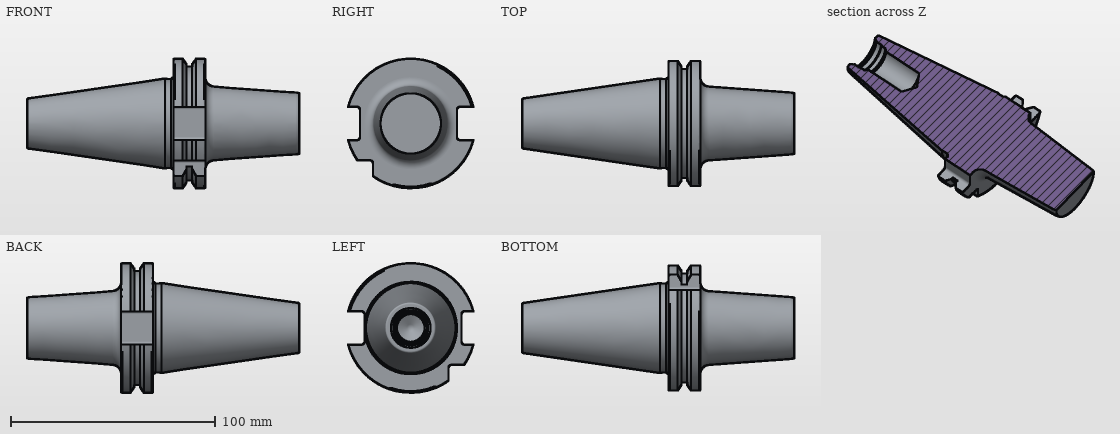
import cadquery as cq
import math

length = 133.2

taper_small_radius = 12.3
taper_end = 67.4
taper_slope = 7 / 48
taper_large_radius = taper_small_radius + taper_slope * taper_end
tail_round = 0.8
neck_radius = 21.9
neck_start = 68.5
neck_end = 70.5
collar_radius = 22.7

flange_start = 71.5
flange_end = 87.3
flange_radius = 31.78
rim_round = 0.8
groove_center = (flange_start + flange_end) / 2
groove_floor_radius = 28.0
groove_wall_height = 1.0
groove_floor_width = 2.8
groove_top_width = 6.7

nose_start = 91.7
nose_base_radius = 18.1
nose_tip_radius = 15.2
nose_chamfer_length = 1.2
nose_chamfer_depth = 0.4
nose_fillet = nose_start - flange_end

bore_mouth_radius = 9.7
bore_mouth_depth = 1.9
pilot_radius = 8.5
pilot_depth = 4.8
step_radius = 8.1
step_start = 5.2
step_depth = 8.0
thread_major_radius = 7.9
thread_radius = 6.8
thread_start = 9.3
thread_depth = 30.0
drill_tip_half_angle = 59.0

slot_width = 16.3
slot_floor_plus_y = 22.7
slot_floor_minus_y = 24.9
notch_y = -18.5
notch_z = -18.1
corner_round = 1.5


def make_body():
    """Revolve everything outside the bore about the X axis."""
    wall_top_radius = groove_floor_radius + groove_wall_height
    floor_half = groove_floor_width / 2
    top_half = groove_top_width / 2
    diagonal = nose_fillet * math.sqrt(0.5)
    fillet_radius = nose_base_radius + nose_fillet
    profile = (
        cq.Workplane("XY")
        .moveTo(0, 0)
        .lineTo(0, taper_small_radius - tail_round)
        .tangentArcPoint((tail_round, taper_small_radius + taper_slope * tail_round), relative=False)
        .lineTo(taper_end, taper_large_radius)
        .lineTo(neck_start, neck_radius)
        .lineTo(neck_end, neck_radius)
        .lineTo(flange_start, collar_radius)
        .lineTo(flange_start, flange_radius - rim_round)
        .radiusArc((flange_start + rim_round, flange_radius), rim_round)
        .lineTo(groove_center - top_half, flange_radius)
        .lineTo(groove_center - floor_half, wall_top_radius)
        .lineTo(groove_center - floor_half, groove_floor_radius)
        .lineTo(groove_center + floor_half, groove_floor_radius)
        .lineTo(groove_center + floor_half, wall_top_radius)
        .lineTo(groove_center + top_half, flange_radius)
        .lineTo(flange_end - rim_round, flange_radius)
        .radiusArc((flange_end, flange_radius - rim_round), rim_round)
        .lineTo(flange_end, fillet_radius)
        .threePointArc(
            (nose_start - diagonal, fillet_radius - diagonal),
            (nose_start, nose_base_radius),
        )
        .lineTo(length - nose_chamfer_length, nose_tip_radius)
        .lineTo(length, nose_tip_radius - nose_chamfer_depth)
        .lineTo(length, 0)
        .close()
    )
    return profile.revolve(360, (0, 0, 0), (1, 0, 0))


def make_bore():
    """Mouth cone, pilot, step, lead-in cone, tapping hole and conical drill bottom."""
    tip_length = thread_radius / math.tan(math.radians(drill_tip_half_angle))
    profile = (
        cq.Workplane("XY")
        .moveTo(0, 0)
        .lineTo(0, bore_mouth_radius)
        .lineTo(bore_mouth_depth, pilot_radius)
        .lineTo(pilot_depth, pilot_radius)
        .lineTo(step_start, step_radius)
        .lineTo(step_depth, step_radius)
        .lineTo(step_depth, thread_major_radius)
        .lineTo(thread_start, thread_radius)
        .lineTo(thread_depth, thread_radius)
        .lineTo(thread_depth + tip_length, 0)
        .close()
    )
    return profile.revolve(360, (0, 0, 0), (1, 0, 0))


def make_rim_cutter(floor_y, z_low, z_high):
    """Box across the flange, from floor_y outward past the rim, with rounded inner corners."""
    outer_y = math.copysign(2 * flange_radius, floor_y)
    cutter = cq.Workplane("XY").box(
        flange_end - flange_start,
        abs(outer_y - floor_y),
        z_high - z_low,
        centered=(False, True, False),
    )
    inner_edges = "|X and <Y" if floor_y > 0 else "|X and >Y"
    cutter = cutter.edges(inner_edges).fillet(corner_round)
    return cutter.translate((flange_start, (outer_y + floor_y) / 2, z_low))


rim_cutters = [
    make_rim_cutter(slot_floor_plus_y, -slot_width / 2, slot_width / 2),
    make_rim_cutter(-slot_floor_minus_y, -slot_width / 2, slot_width / 2),
    make_rim_cutter(notch_y, -2 * flange_radius, notch_z),
]

result = make_body().cut(make_bore())
for rim_cutter in rim_cutters:
    result = result.cut(rim_cutter)